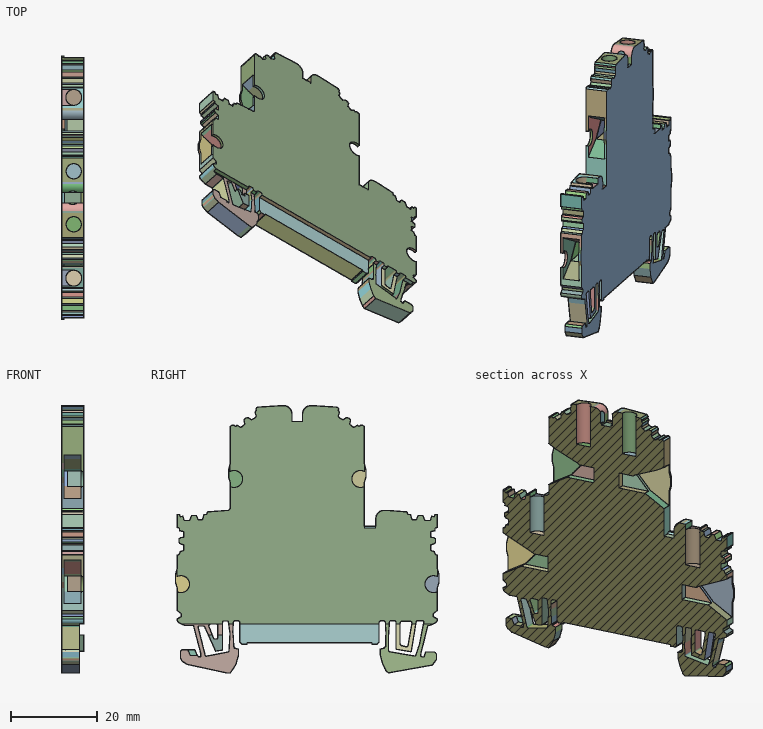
import cadquery as cq


THICKNESS = 5.1
FOOT_THICKNESS = 4.15
UNDERSIDE_Z = 11.3
TOP_Z = 61.55
HALF_LENGTH = 29.95
TOWER_Y = -2.3
TOWER_HALF = 15.42
MID_X = THICKNESS / 2
HALF_SPAN = HALF_LENGTH + 5.0
CUT = 1.0

GROOVE_FLOOR_Z = 33.8
LOWER_TOP_Z = 37.45
BLOCK_INNER_Y = 15.75
BLOCK_RADIUS = 1.95
RAIL_Z = 6.95
RAIL_LIP_Z = 6.6
RAIL_Y_MIN = -15.55
RAIL_Y_MAX = 16.55
LIP_LENGTH = 1.65
LIP_CHAMFER = 0.5
FLANGE_Z = 10.9

TOWER_GROOVE_HALF = 1.2
TOWER_GROOVE_Z = 57.9

SCREW_X = 2.78
SCREW_DEPTH = 10.0
LOWER_SCREW_Y = 20.8
LOWER_SCREW_RADIUS = 1.83
LOWER_SEAT_Z = 36.1
TOWER_SCREW_OFFSET = 6.1
TOWER_SCREW_RADIUS = 1.75

LOWER_ENTRY_Z = 20.6
TOWER_ENTRY_Z = 44.8
ENTRY_X_MIN = 0.55
ENTRY_X_MAX = 4.5
ENTRY_BORE_X_MIN = 1.3
ENTRY_BORE_X_MAX = 4.4
BORE_DEPTH = 12.0
BORE_BOTTOM = -1.85
BORE_TOP = 1.7
LOWER_ROOF_BREAK = 5.0
TOWER_ROOF_BREAK = 4.4
NOTCH_RADIUS = 1.95
NOTCH_DROP = 0.15
NOTCH_DEPTH = 0.9
BULGE_HEIGHT = 0.4

SLOT_TOP_Z = 12.0
STUD_TOP_Z = 8.75
SMALL_RADIUS = 0.4
CHANNEL_RADIUS = 0.25
FLANGE_RADIUS = 0.9
HOOK_RADIUS = 0.5
HOOK_WEB = 0.9

END_PROFILE = [
    (22.98, 37.1), (23.17, 36.5), (23.76, 36.5), (24.14, 35.3), (25.11, 35.3), (25.5, 36.3),
    (26.6, 36.3), (27.1, 35.1), (28.3, 35.1), (28.6, 36.1), (29.2, 36.0), (29.4, 36.5),
    (HALF_LENGTH, 36.5), (HALF_LENGTH, 33.5), (29.45, 33.3), (29.45, 32.75), (28.45, 32.5),
    (28.45, 31.25), (29.1, 31.2), (29.55, 30.85), (29.55, 30.1), (29.3, 29.75), (28.45, 29.45),
    (28.45, 28.2), (29.2, 28.0), (29.5, 27.3), (HALF_LENGTH, 27.1), (HALF_LENGTH, 14.4),
    (29.0, 13.6), (29.0, 13.0), (HALF_LENGTH, 12.45), (HALF_LENGTH, 11.75),
]
SHOULDER_PROFILE = [
    (3.6, TOP_Z), (9.2, 61.2), (9.55, 60.8), (9.45, 60.4), (9.75, 60.0), (9.45, 59.1),
    (9.8, 58.65), (10.57, 58.3), (11.35, 58.8), (11.95, 58.65), (12.3, 58.2), (12.1, 57.3),
    (12.65, 56.75), (13.05, 56.55), (13.85, 57.05), (14.2, 56.75), (14.6, 57.05), (15.05, 57.05),
    (TOWER_HALF, 56.7),
]


def plate(points, x_min=0.0, x_max=THICKNESS):
    """Closed (Y, Z) polygon as a plate between two X positions."""
    return cq.Workplane("YZ", origin=(x_min, 0, 0)).polyline(points).close().extrude(x_max - x_min)


def box(x_range, y_range, z_range):
    sizes = [high - low for low, high in (x_range, y_range, z_range)]
    corner = (x_range[0], y_range[0], z_range[0])
    return cq.Workplane("XY").box(*sizes, centered=False).translate(corner)


def round_edge(body, y, z, radius):
    """Round the edge along X that passes nearest to (y, z)."""
    nearest = cq.selectors.NearestToPointSelector((MID_X, y, z))
    return body.edges("|X").edges(nearest).fillet(radius)


def lower_level():
    plus_end = END_PROFILE
    minus_end = [(-y, z) for y, z in reversed(END_PROFILE)]
    lip_end = LIP_LENGTH + 0.1
    flange_y = 28.2
    bottom = [
        (flange_y, FLANGE_Z),
        (RAIL_Y_MAX, FLANGE_Z),
        (RAIL_Y_MAX, RAIL_LIP_Z + LIP_CHAMFER),
        (RAIL_Y_MAX - LIP_CHAMFER, RAIL_LIP_Z),
        (RAIL_Y_MAX - LIP_LENGTH, RAIL_LIP_Z),
        (RAIL_Y_MAX - lip_end, RAIL_Z),
        (RAIL_Y_MIN + lip_end, RAIL_Z),
        (RAIL_Y_MIN + LIP_LENGTH, RAIL_LIP_Z),
        (RAIL_Y_MIN + LIP_CHAMFER, RAIL_LIP_Z),
        (RAIL_Y_MIN, RAIL_LIP_Z + LIP_CHAMFER),
        (RAIL_Y_MIN, FLANGE_Z),
        (-flange_y, FLANGE_Z),
    ]
    crest_y = 18.35
    step = 0.4
    tower_foot = TOWER_Y - TOWER_HALF
    base = plate(
        plus_end + bottom + minus_end
        + [
            (-crest_y, LOWER_TOP_Z),
            (tower_foot - step, LOWER_TOP_Z),
            (tower_foot, LOWER_TOP_Z + step),
            (tower_foot, GROOVE_FLOOR_Z),
            (BLOCK_INNER_Y, GROOVE_FLOOR_Z),
            (BLOCK_INNER_Y, LOWER_TOP_Z),
            (crest_y, LOWER_TOP_Z),
        ]
    )
    base = round_edge(base, BLOCK_INNER_Y, LOWER_TOP_Z, BLOCK_RADIUS)
    for y in (-HALF_LENGTH, HALF_LENGTH):
        base = round_edge(base, y, END_PROFILE[-1][1], FLANGE_RADIUS)
    return base


def tower():
    right = [(TOWER_Y + v, z) for v, z in SHOULDER_PROFILE]
    left = [(TOWER_Y - v, z) for v, z in reversed(SHOULDER_PROFILE)]
    body = plate(
        right
        + [(TOWER_Y + TOWER_HALF, GROOVE_FLOOR_Z - CUT), (TOWER_Y - TOWER_HALF, GROOVE_FLOOR_Z - CUT)]
        + left
    )
    groove = box(
        (0, THICKNESS),
        (TOWER_Y - TOWER_GROOVE_HALF, TOWER_Y + TOWER_GROOVE_HALF),
        (TOWER_GROOVE_Z, TOP_Z + CUT),
    )
    body = body.cut(groove)
    for side in (-1, 1):
        body = round_edge(body, TOWER_Y + side * TOWER_GROOVE_HALF, TOP_Z, BLOCK_RADIUS)
    return body


def plus_foot():
    """Latching foot at the +Y end, with its hook and spring legs."""
    foot = plate([
        (27.9, 11.5), (27.4, 9.4), (26.2, 4.6), (26.15, 3.9), (26.5, 3.7), (26.85, 3.75),
        (27.25, 4.85), (29.3, 4.85), (29.75, 4.4), (29.75, 3.1), (28.8, 1.8), (18.7, 0.0),
        (18.1, 0.5), (17.3, 2.2), (16.75, 4.2), (16.75, 5.5), (17.7, 5.75), (18.1, 9.0),
        (17.95, 11.5),
    ])
    channel = plate([(26.85, 12.0), (25.8, 6.6), (24.9, 3.9), (18.75, 4.95), (18.7, 8.0), (18.95, 12.0)])
    rib = plate([(25.2, 12.5), (23.95, 4.85), (20.4, 5.45), (20.4, 12.5)])
    window = plate([(24.15, 11.9), (23.1, 5.95), (21.4, 6.4), (21.4, 11.9)])
    slot = plate([(17.95, SLOT_TOP_Z), (18.05, 6.0), (RAIL_Y_MAX, 6.0), (RAIL_Y_MAX, SLOT_TOP_Z)])
    return foot, channel, rib, window, slot


def minus_foot():
    """Latching foot at the -Y end, with a V-shaped rib."""
    foot = plate([
        (-26.3, 11.5), (-26.1, 10.5), (-24.55, 4.6), (-24.55, 3.8), (-24.95, 3.7), (-25.3, 4.1),
        (-25.9, 5.4), (-28.8, 5.4), (-29.2, 5.0), (-29.2, 3.4), (-28.8, 2.7), (-27.6, 1.95),
        (-18.6, 0.0), (-17.7, 0.0), (-16.4, 1.95), (-15.8, 4.1), (-15.8, 5.5), (-16.75, 5.75),
        (-17.1, 9.4), (-17.0, 11.5),
    ])
    hook_corners = [(-28.8, 5.4), (-29.2, 5.0), (-29.2, 3.4), (-28.8, 2.7)]
    for y, z in hook_corners:
        foot = round_edge(foot, y, z, HOOK_RADIUS)
    valley = plate([(-25.2, 4.0), (-26.9, 4.0), (-27.6, 5.6), (-25.2, 5.6)], HOOK_WEB, THICKNESS)
    foot = foot.cut(valley)
    channel = plate([
        (-18.2, 11.95), (-17.8, 9.1), (-18.05, 4.9), (-23.4, 3.85),
        (-25.15, 10.8), (-23.3, 10.8), (-19.5, 11.95),
    ])
    rib = plate([(-19.45, 12.5), (-19.45, 5.25), (-21.1, 5.0), (-23.8, 11.0), (-23.8, 12.5)])
    window = plate([(-20.6, 11.25), (-22.8, 11.25), (-21.5, 7.85), (-20.6, 7.85)])
    slot = plate([(-17.0, SLOT_TOP_Z), (-16.9, 6.0), (RAIL_Y_MIN, 6.0), (RAIL_Y_MIN, SLOT_TOP_Z)])
    return foot, channel, rib, window, slot


def add_feet(body):
    for foot, channel, rib, window, slot in (plus_foot(), minus_foot()):
        opening = channel.cut(rib).edges("|X").fillet(CHANNEL_RADIUS)
        body = body.union(foot).cut(opening)
        body = body.cut(window.edges("|X").fillet(SMALL_RADIUS))
        body = body.cut(slot.edges("|X and >Z").fillet(SMALL_RADIUS))
    thin_zone = box((FOOT_THICKNESS, THICKNESS + CUT), (-HALF_SPAN, HALF_SPAN), (-CUT, UNDERSIDE_Z))
    return body.cut(thin_zone)


def rib_stud():
    """Lower end of the V-shaped rib, carried on to the full thickness."""
    _, _, rib, window, _ = minus_foot()
    zone = box((FOOT_THICKNESS - CUT, THICKNESS), (-HALF_SPAN, 0), (0, STUD_TOP_Z))
    return rib.cut(window).intersect(zone)


def entry_bulge(face_y, side, z):
    """Shallow swelling of the wall beside a wire entry."""
    profile = [
        (-CUT, 3.5), (0, 3.5), (BULGE_HEIGHT, 2.0), (BULGE_HEIGHT, 0.3), (0, -1.1), (-CUT, -1.1),
    ]
    return plate([(face_y + side * out, z + height) for out, height in profile], 0, ENTRY_X_MIN)


def entry_funnel(face_y, side, z, roof_break):
    """Wedge-shaped wire entry that narrows inward, with a rectangular bore at its throat."""
    mouth_bottom = -4.65
    mouth_top = 5.4
    roof_slope = 0.55
    floor_depth = 5.0
    roof_depth = 7.6
    apex_depth = 8.3
    profile = [
        (-CUT, mouth_bottom), (0, mouth_bottom), (floor_depth, BORE_BOTTOM), (apex_depth, BORE_TOP),
        (roof_depth, 2.1), ((mouth_top - roof_break) / roof_slope, roof_break), (0, mouth_top),
        (-CUT, mouth_top),
    ]
    funnel = plate(
        [(face_y - side * depth, z + height) for depth, height in profile], ENTRY_X_MIN, ENTRY_X_MAX
    )
    bore_y = sorted((face_y, face_y - side * BORE_DEPTH))
    bore_z = (z + BORE_BOTTOM, z + BORE_TOP)
    return funnel.union(box((ENTRY_BORE_X_MIN, ENTRY_BORE_X_MAX), bore_y, bore_z))


def entry_notch(face_y, side, z):
    """Round notch through the +X wall of a wire entry."""
    return (
        cq.Workplane("YZ", origin=(ENTRY_BORE_X_MAX, 0, 0))
        .center(face_y - side * NOTCH_DEPTH, z - NOTCH_DROP)
        .circle(NOTCH_RADIUS)
        .extrude(THICKNESS)
    )


def add_wire_entries(body):
    entries = [
        (side, face_y, z, roof_break)
        for side in (-1, 1)
        for face_y, z, roof_break in (
            (side * HALF_LENGTH, LOWER_ENTRY_Z, LOWER_ROOF_BREAK),
            (TOWER_Y + side * TOWER_HALF, TOWER_ENTRY_Z, TOWER_ROOF_BREAK),
        )
    ]
    for side, face_y, z, roof_break in entries:
        body = body.union(entry_bulge(face_y, side, z))
        body = body.cut(entry_funnel(face_y, side, z, roof_break))
        body = body.cut(entry_notch(face_y, side, z))
    return body


def bore(y, radius, floor_z, x=SCREW_X):
    return cq.Workplane("XY", origin=(x, y, floor_z)).circle(radius).extrude(TOP_Z)


def cut_screw_holes(body):
    for side in (-1, 1):
        y = side * LOWER_SCREW_Y
        body = body.cut(bore(y, LOWER_SCREW_RADIUS, LOWER_TOP_Z - SCREW_DEPTH))
        recess_y = (y - LOWER_SCREW_RADIUS, y + LOWER_SCREW_RADIUS)
        body = body.cut(box((-CUT, SCREW_X), recess_y, (LOWER_SEAT_Z, LOWER_TOP_Z + CUT)))
        tower_y = TOWER_Y + side * TOWER_SCREW_OFFSET
        body = body.cut(bore(tower_y, TOWER_SCREW_RADIUS, TOP_Z - SCREW_DEPTH))
    return body


def cut_groove_details(body):
    """Round relief and sunk floor in the tower groove, stepped floor in the lower groove."""
    relief_radius = 1.55
    floor_half_width = 1.85
    sink = 0.4
    body = body.cut(bore(TOWER_Y, relief_radius, TOWER_GROOVE_Z, MID_X))
    sunk_floor = box(
        (MID_X - floor_half_width, MID_X + floor_half_width),
        (TOWER_Y - TOWER_GROOVE_HALF, TOWER_Y + TOWER_GROOVE_HALF),
        (TOWER_GROOVE_Z - sink, TOWER_GROOVE_Z + CUT),
    )
    step_x = 0.8
    step = (
        cq.Workplane("XZ", origin=(0, BLOCK_INNER_Y, 0))
        .polyline([
            (step_x, GROOVE_FLOOR_Z), (step_x + sink, GROOVE_FLOOR_Z - sink),
            (THICKNESS, GROOVE_FLOOR_Z - sink), (THICKNESS, GROOVE_FLOOR_Z),
        ])
        .close()
        .extrude(BLOCK_INNER_Y - TOWER_Y - TOWER_HALF)
    )
    return body.cut(sunk_floor).cut(step)


body = lower_level().union(tower())
body = add_feet(body).union(rib_stud())
body = add_wire_entries(body)
body = cut_screw_holes(body)
result = cut_groove_details(body)